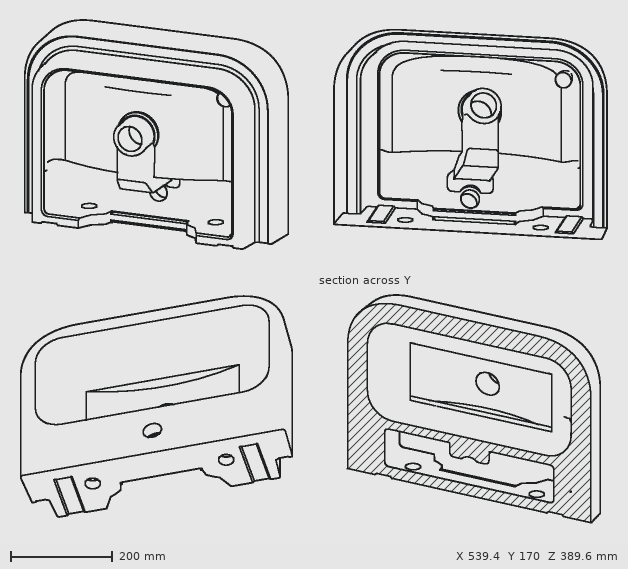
import cadquery as cq
import math


OUTER_WIDTH = 539.37
OUTER_LENGTH = 389.63
RIM_DEPTH = 78.5
RIM_DRAFT = 4.6
RIM_TOP_RADIUS = 6.0
RIM_ROUNDING_LOSS = 0.35
DRIP_LIP_HEIGHT = 2.0
DRIP_LIP_WIDTH = 7.0
DRIP_LIP_RADIUS = 2.2
CORNER_X = 150.4
CORNER_Z = 275.5
ELLIPTIC_FULLNESS = 4 / 3 * (math.sqrt(2) - 1)
RIM_FULLNESS = 0.62

SKIRT_HALF_WIDTH = 231.2
SKIRT_LENGTH = 350.0
SKIRT_DEPTH = 133.3
SKIRT_DRAFT = 4.2
SKIRT_EDGE_RADIUS = 5.0
STEP_COVE_WIDTH = 7.0
STEP_COVE_DEPTH = 4.0

HOLLOW_HALF_WIDTH = 202.0
HOLLOW_LENGTH = 322.5
HOLLOW_DRAFT = 4.5
BOWL_BASE_DEPTH = 98.0
BOWL_BASE_RADIUS = 30.0
BOWL_BASE_HALF_WIDTH = 170.0
BOWL_BASE_Z = (125.0, 294.0)
BOWL_BASE_CROWN = (36.0, 24.0, 33.0)
HOLLOW_EDGE_RADIUS = 4.0

DECK_DEPTH = 28.0
DECK_HALF_WIDTH = 186.0
DECK_Z = (24.0, 107.0)
MOUTH_Z_LOW = 20.0
DECK_RADIUS = 9.0
DECK_CORNER_RADIUS = 10.0

DRAIN_Z = 210.5
DRAIN_DEPTH = 170.0
DRAIN_BORE_RADIUS = 25.5
DRAIN_TIP_RADIUS = 35.3
DRAIN_ROOT_RADIUS = 38.7
DRAIN_COLLAR_RADIUS = 43.0
DRAIN_COLLAR_HEIGHT = 5.0
DRAIN_TIP_ROUNDING = 2.0
DRAIN_BASE_DEPTH = 130.0

CHANNEL_DEPTH = 163.5
CHANNEL_TOP_HALF_WIDTH = 31.0
CHANNEL_ROOT_HALF_WIDTH = 36.0
CHANNEL_NOSE_Z = 122.0
CHANNEL_END_Z = 94.0
CHANNEL_END_DEPTH = 137.0
CHANNEL_EDGE_RADIUS = 6.0
CHANNEL_FOOT_HALF_WIDTH = 46.0
CHANNEL_FOOT_Z = 73.5
CHANNEL_FOOT_HEIGHT = 20.0
CHANNEL_FOOT_RADIUS = 10.0

TAP_Z = 60.0
TAP_RADIUS = 18.5
TAP_CLEARANCE_RADIUS = 25.0

SEAT_X = 173.5
SEAT_RADIUS = 16.0

BACK_WALL_CUT_HEIGHT = DECK_Z[0] + DECK_RADIUS
NOTCH_SIDE = [(127.0, SKIRT_DEPTH), (111.0, 103.0), (101.0, 98.0), (87.0, 89.0), (83.0, 73.0)]
NOTCH_CORNER_RADIUS = 4.0
NOTCH_EDGE_BEVEL = 5.0
ACCESS_X = 136.0
ACCESS_DEPTH = 57.0
ACCESS_RADIUS = 15.0
GROOVE_X = 189.0
GROOVE_WIDTH = 37.0
GROOVE_HEIGHT = 3.5

WALL = 14.0
BOWL_HALF_WIDTH = 238.0
BOWL_Z = (DECK_Z[1] + WALL, 357.0)
BOWL_FLOOR_HALF_WIDTH = 200.0
BOWL_FLOOR_Z = (BOWL_BASE_Z[0] + WALL, 318.0)
BOWL_CORNER_RADIUS = 55.0


def plane(depth):
    """Sketch plane at a depth: local x is X, local y is Z, the normal points to -Y."""
    return cq.Workplane("XZ", origin=(0, -depth, 0))


def arch(depth, half_width, length, base=0.0, fullness=ELLIPTIC_FULLNESS):
    """Arch outline with straight sides, closed at z = base.

    Each corner is a cubic curve whose handles are `fullness` times the way to the sharp corner.
    """
    rx = half_width - CORNER_X
    rz = length - CORNER_Z
    right_corner = [
        (half_width, CORNER_Z),
        (half_width, CORNER_Z + fullness * rz),
        (CORNER_X + fullness * rx, length),
        (CORNER_X, length),
    ]
    left_corner = [(-x, z) for x, z in reversed(right_corner)]
    return (
        plane(depth)
        .moveTo(-half_width, base)
        .lineTo(half_width, base)
        .lineTo(half_width, CORNER_Z)
        .bezier(right_corner)
        .lineTo(-CORNER_X, length)
        .bezier(left_corner)
        .close()
        .val()
    )


def loft(*wires):
    """Solid with straight sides between successive outlines."""
    return cq.Workplane(cq.Solid.makeLoft(list(wires), True))


def rounded_rectangle(depth, half_width, z_range, radius):
    """Outline centred on x = 0 with equal corner radii."""
    z_low, z_high = z_range
    plate = (
        plane(depth)
        .center(0, (z_low + z_high) / 2)
        .rect(2 * half_width, z_high - z_low)
        .extrude(1)
        .edges("|Y")
        .fillet(radius)
    )
    return plate.faces(">Y").wires().val()


def circle(depth, z, radius):
    return plane(depth).center(0, z).circle(radius).wires().val()


def cone(depth_1, radius_1, depth_2, radius_2, z):
    """Cone or cylinder along Y, centred on x = 0 at height z."""
    return loft(circle(depth_1, z, radius_1), circle(depth_2, z, radius_2))


def edges_at_depth(depth, z_low=1.0):
    """Selects the edges lying at one depth, leaving out those below z_low."""
    tolerance = 0.1
    return cq.selectors.BoxSelector(
        (-OUTER_WIDTH, -depth - tolerance, z_low),
        (OUTER_WIDTH, -depth + tolerance, 2 * OUTER_LENGTH),
    )


def outer_body():
    """Rim with its drip lip, and the narrower skirt joined to it by a sloping cove."""
    half = OUTER_WIDTH / 2 + RIM_ROUNDING_LOSS
    length = OUTER_LENGTH + RIM_ROUNDING_LOSS
    lip_depth = RIM_DEPTH + DRIP_LIP_HEIGHT
    rim = loft(
        arch(0, half, length, fullness=RIM_FULLNESS),
        arch(lip_depth, half - RIM_DRAFT, length - RIM_DRAFT, fullness=RIM_FULLNESS),
    )
    rim = rim.edges(edges_at_depth(0)).fillet(RIM_TOP_RADIUS)
    rim = rim.edges(edges_at_depth(lip_depth)).fillet(DRIP_LIP_RADIUS)
    inset = RIM_DRAFT + DRIP_LIP_WIDTH
    wide_inset = inset + DRIP_LIP_HEIGHT
    inside_lip = loft(
        arch(RIM_DEPTH, half - wide_inset, length - wide_inset),
        arch(lip_depth, half - inset, length - inset),
    )
    skirt = loft(
        arch(RIM_DEPTH, SKIRT_HALF_WIDTH, SKIRT_LENGTH),
        arch(SKIRT_DEPTH, SKIRT_HALF_WIDTH - SKIRT_DRAFT, SKIRT_LENGTH - SKIRT_DRAFT),
    )
    skirt = skirt.edges(edges_at_depth(SKIRT_DEPTH)).fillet(SKIRT_EDGE_RADIUS)
    step_cove = loft(
        arch(RIM_DEPTH, SKIRT_HALF_WIDTH + STEP_COVE_WIDTH, SKIRT_LENGTH + STEP_COVE_WIDTH),
        arch(RIM_DEPTH + STEP_COVE_DEPTH, SKIRT_HALF_WIDTH, SKIRT_LENGTH),
    )
    return rim.cut(inside_lip).union(step_cove).union(skirt)


def bowl_hollow():
    """Drafted space under the bowl with a rounded end."""
    hollow = loft(
        arch(SKIRT_DEPTH, HOLLOW_HALF_WIDTH, HOLLOW_LENGTH, DECK_Z[1]),
        arch(
            BOWL_BASE_DEPTH,
            HOLLOW_HALF_WIDTH - HOLLOW_DRAFT,
            HOLLOW_LENGTH - HOLLOW_DRAFT,
            DECK_Z[1],
        ),
    )
    return hollow.edges(edges_at_depth(BOWL_BASE_DEPTH, DECK_Z[1] + 1)).fillet(BOWL_BASE_RADIUS)


def deck_hollow():
    """Deeper space under the tap deck; its sloping side meets the lower edge of the bowl base."""
    bowl_side_slope = (BOWL_BASE_Z[0] - DECK_Z[1]) / (BOWL_BASE_DEPTH - DECK_DEPTH)
    mouth_z_high = DECK_Z[1] + bowl_side_slope * (SKIRT_DEPTH - DECK_DEPTH)
    hollow = loft(
        rounded_rectangle(SKIRT_DEPTH, HOLLOW_HALF_WIDTH, (MOUTH_Z_LOW, mouth_z_high), DECK_CORNER_RADIUS),
        rounded_rectangle(DECK_DEPTH, DECK_HALF_WIDTH, DECK_Z, DECK_CORNER_RADIUS),
    )
    return hollow.edges(edges_at_depth(DECK_DEPTH)).fillet(DECK_RADIUS)


def hollow_mouth():
    """Flare that breaks the inner edge of the skirt face."""
    flare = HOLLOW_EDGE_RADIUS
    mouth_z = MOUTH_Z_LOW + DECK_CORNER_RADIUS
    upper = loft(
        arch(SKIRT_DEPTH - flare, HOLLOW_HALF_WIDTH, HOLLOW_LENGTH, mouth_z),
        arch(SKIRT_DEPTH, HOLLOW_HALF_WIDTH + flare, HOLLOW_LENGTH + flare, mouth_z),
    )
    z_range = (MOUTH_Z_LOW, DRAIN_Z)
    wide_z_range = (MOUTH_Z_LOW - flare, DRAIN_Z)
    lower = loft(
        rounded_rectangle(SKIRT_DEPTH - flare, HOLLOW_HALF_WIDTH, z_range, DECK_CORNER_RADIUS),
        rounded_rectangle(SKIRT_DEPTH, HOLLOW_HALF_WIDTH + flare, wide_z_range, DECK_CORNER_RADIUS + flare),
    )
    return upper.union(lower)


def crowned_slab(depth, half_width, sections):
    """Loft along Z through circular segments, each given as (z, crown height below the depth)."""
    wires = [
        cq.Workplane("XY", origin=(0, -depth, z))
        .moveTo(-half_width, 0)
        .threePointArc((0, -crown), (half_width, 0))
        .close()
        .val()
        for z, crown in sections
    ]
    return loft(*wires)


def bowl_underside():
    """Crowned bowl base that runs up into the front wall of the hollow."""
    z_low, z_high = BOWL_BASE_Z
    low_crown, high_crown, wall_crown = BOWL_BASE_CROWN
    sections = [(z_low, low_crown), (z_high, high_crown), (HOLLOW_LENGTH, wall_crown)]
    return crowned_slab(BOWL_BASE_DEPTH, BOWL_BASE_HALF_WIDTH, sections)


def drain_outlet():
    """Tapered spigot on a sloping collar."""
    outlet = cone(BOWL_BASE_DEPTH, DRAIN_ROOT_RADIUS, DRAIN_DEPTH, DRAIN_TIP_RADIUS, DRAIN_Z)
    outlet = outlet.edges("<Y").fillet(DRAIN_TIP_ROUNDING)
    collar_end = DRAIN_BASE_DEPTH + DRAIN_COLLAR_HEIGHT
    foot = cone(BOWL_BASE_DEPTH, DRAIN_COLLAR_RADIUS, DRAIN_BASE_DEPTH, DRAIN_COLLAR_RADIUS, DRAIN_Z)
    collar = cone(DRAIN_BASE_DEPTH, DRAIN_COLLAR_RADIUS, collar_end, DRAIN_ROOT_RADIUS, DRAIN_Z)
    return outlet.union(collar).union(foot)


def overflow_channel():
    """Rib from the drain outlet to the tap deck with a sloping nose and drafted sides."""
    side_profile = (
        cq.Workplane("YZ")
        .polyline(
            [
                (-DECK_DEPTH, DRAIN_Z),
                (-CHANNEL_DEPTH, DRAIN_Z),
                (-CHANNEL_DEPTH, CHANNEL_NOSE_Z),
                (-CHANNEL_END_DEPTH, CHANNEL_END_Z),
                (-DECK_DEPTH, CHANNEL_END_Z),
            ]
        )
        .close()
        .extrude(CHANNEL_ROOT_HALF_WIDTH, both=True)
    )
    cross_section = (
        cq.Workplane("XY")
        .polyline(
            [
                (-CHANNEL_ROOT_HALF_WIDTH, -DECK_DEPTH),
                (-CHANNEL_ROOT_HALF_WIDTH, -DRAIN_BASE_DEPTH),
                (-CHANNEL_TOP_HALF_WIDTH, -CHANNEL_DEPTH),
                (CHANNEL_TOP_HALF_WIDTH, -CHANNEL_DEPTH),
                (CHANNEL_ROOT_HALF_WIDTH, -DRAIN_BASE_DEPTH),
                (CHANNEL_ROOT_HALF_WIDTH, -DECK_DEPTH),
            ]
        )
        .close()
        .extrude(DRAIN_Z)
    )
    rib = side_profile.intersect(cross_section)
    top_edges = rib.edges(edges_at_depth(CHANNEL_DEPTH, CHANNEL_NOSE_Z - 1))
    return top_edges.edges("|Z").fillet(CHANNEL_EDGE_RADIUS)


def channel_foot():
    """Flared foot where the overflow channel meets the tap deck."""
    foot = loft(
        rounded_rectangle(
            DECK_DEPTH, CHANNEL_FOOT_HALF_WIDTH, (CHANNEL_FOOT_Z, BOWL_BASE_Z[0]), CHANNEL_FOOT_RADIUS
        ),
        rounded_rectangle(
            DECK_DEPTH + CHANNEL_FOOT_HEIGHT,
            CHANNEL_ROOT_HALF_WIDTH,
            (CHANNEL_END_Z, BOWL_BASE_Z[0]),
            CHANNEL_FOOT_RADIUS,
        ),
    )
    clearance = cone(DECK_DEPTH, TAP_CLEARANCE_RADIUS, SKIRT_DEPTH, TAP_CLEARANCE_RADIUS, TAP_Z)
    return foot.cut(clearance)


def bowl_interior():
    """Bowl cavity one wall thickness inside the hollow, dished towards the drain."""
    floor_depth = BOWL_BASE_DEPTH - WALL
    basin = loft(
        rounded_rectangle(0, BOWL_HALF_WIDTH, BOWL_Z, BOWL_CORNER_RADIUS),
        rounded_rectangle(floor_depth, BOWL_FLOOR_HALF_WIDTH, BOWL_FLOOR_Z, BOWL_CORNER_RADIUS),
    )
    basin = basin.edges(edges_at_depth(floor_depth)).fillet(BOWL_BASE_RADIUS)
    low_crown, high_crown, _ = BOWL_BASE_CROWN
    sections = [(BOWL_BASE_Z[0] + 2 * WALL, low_crown), (BOWL_BASE_Z[1] - WALL, high_crown)]
    dish = crowned_slab(floor_depth, BOWL_BASE_HALF_WIDTH - WALL, sections)
    return basin.union(dish)


def back_wall_notch():
    """Stepped notch through the wall at z = 0, symmetric about x = 0."""
    right_side = [(x, -depth) for x, depth in NOTCH_SIDE]
    left_side = [(-x, y) for x, y in reversed(right_side)]
    notch = cq.Workplane("XY").polyline(right_side + left_side).close().extrude(BACK_WALL_CUT_HEIGHT)
    inner = cq.selectors.BoxSelector(
        (-OUTER_WIDTH, -SKIRT_DEPTH + 1, 0), (OUTER_WIDTH, 0, BACK_WALL_CUT_HEIGHT)
    )
    return notch.edges("|Z").edges(inner).fillet(NOTCH_CORNER_RADIUS)


def notch_edge_bevels():
    """Bevels along the lower and upper edges of the innermost notch face."""
    half_width, depth = NOTCH_SIDE[-1]
    wall_top = DECK_Z[0] - (DECK_Z[0] - MOUTH_Z_LOW) * (depth - DECK_DEPTH) / (SKIRT_DEPTH - DECK_DEPTH)
    bevels = cq.Workplane()
    for z, inward in ((0, NOTCH_EDGE_BEVEL), (wall_top, -NOTCH_EDGE_BEVEL)):
        corner = [(-depth, z), (-depth + NOTCH_EDGE_BEVEL, z), (-depth, z + inward)]
        bevel = cq.Workplane("YZ").polyline(corner).close().extrude(half_width, both=True)
        bevels = bevels.add(bevel)
    return bevels.combine()


def access_hole(side):
    return (
        cq.Workplane("XY", origin=(side * ACCESS_X, -ACCESS_DEPTH, 0))
        .circle(ACCESS_RADIUS)
        .extrude(BACK_WALL_CUT_HEIGHT)
    )


def groove(side):
    """Shallow groove across the z = 0 face, open at the skirt face."""
    return (
        plane(DECK_DEPTH)
        .center(side * GROOVE_X, 0)
        .polyline(
            [
                (-GROOVE_WIDTH / 2, 0),
                (GROOVE_WIDTH / 2, 0),
                (GROOVE_WIDTH / 2 - GROOVE_HEIGHT, GROOVE_HEIGHT),
                (-GROOVE_WIDTH / 2 + GROOVE_HEIGHT, GROOVE_HEIGHT),
            ]
        )
        .close()
        .extrude(SKIRT_DEPTH - DECK_DEPTH)
    )


def corner_seat():
    """Cutter for a flat round seat level with the border of the bowl base."""
    return (
        plane(BOWL_BASE_DEPTH)
        .center(SEAT_X, BOWL_BASE_Z[1])
        .circle(SEAT_RADIUS)
        .extrude(SKIRT_DEPTH - BOWL_BASE_DEPTH)
    )


result = outer_body()
result = result.cut(bowl_hollow()).cut(deck_hollow()).cut(hollow_mouth())
result = result.union(bowl_underside()).union(overflow_channel()).union(channel_foot())
result = result.union(drain_outlet())
result = result.cut(bowl_interior()).cut(corner_seat())
result = result.cut(cone(0, DRAIN_BORE_RADIUS, DRAIN_DEPTH, DRAIN_BORE_RADIUS, DRAIN_Z))
result = result.cut(cone(0, TAP_RADIUS, SKIRT_DEPTH, TAP_RADIUS, TAP_Z))
result = result.cut(back_wall_notch())
result = result.cut(notch_edge_bevels())
for side in (-1, 1):
    result = result.cut(access_hole(side)).cut(groove(side))
result = cq.Workplane(result.solids().val())